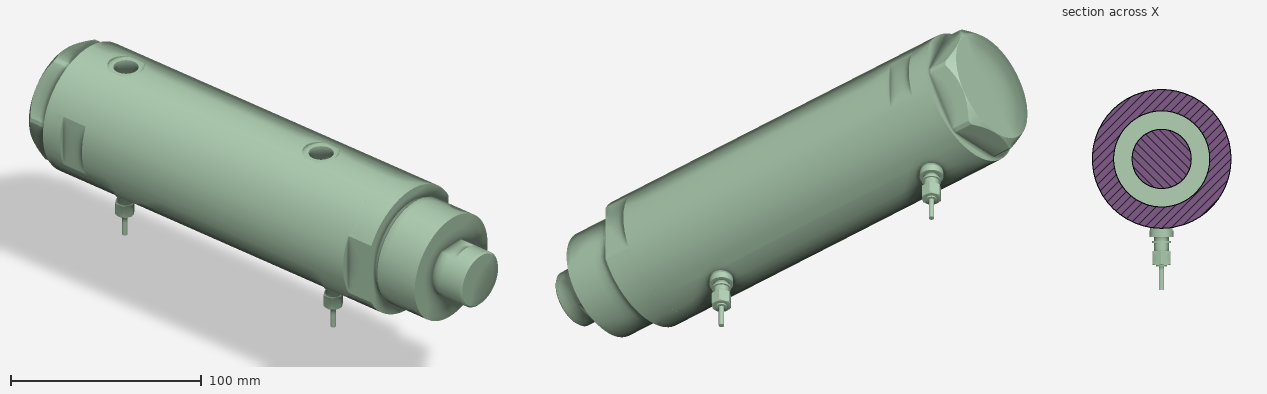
import cadquery as cq

BODY_DIA = 73.0
BODY_START = 16.5
BODY_END = 218.5
BORE_DIA = 50.0
BODY_FLAT_WIDTH = 66.7
BODY_FLAT_START = 26.5
BODY_FLAT_END = 41.5
PORT_POSITIONS = (41.5, 173.7)
PORT_DIA = 13.2
PORT_SEAT_DIA = 19.7
PORT_SEAT_DEPTH = 1.0

HEX_WIDTH = 60.0
HEX_CORNER_DIA = 67.8
HEX_FACE_DIA = 59.7
HEX_TURN = 23.0
HEX_LENGTH = 15.0
PLUG_END = 42.5

SPIGOT_START = 173.0
NOSE_DIA = 60.2
NECK_DIA = 58.3
HEAD_FLAT_WIDTH = 64.0
COLLAR_END = 234.0
NOSE_CHAMFER_START = 235.4
NOSE_START = 236.5
NOSE_END = 261.8

ROD_DIA = 31.2
ROD_END = 281.5
ROD_CHAMFER = 0.8
ROD_FLAT_WIDTH = 27.0
ROD_FLAT_END = 271.7
PISTON_LENGTH = 28.2

SENSOR_POSITIONS = (40.5, 182.0)
SENSOR_TOP = -35.0
STUB_DIA = 11.8
STUB_END = -37.7
RING_DIA = 12.5
RING_END = -41.0
SHANK_DIA = 8.0
BEAD_START = -43.0
BEAD_DIA = 9.9
BEAD_END = -44.2
WAIST_END = -48.5
NUT_WIDTH = 9.5
NUT_CORNER_DIA = 10.7
NUT_CHAMFER = 0.5
NUT_TURN = 30.0
NUT_END = -55.7
SLEEVE_DIA = 5.5
SLEEVE_END = -56.5
CABLE_DIA = 2.8
CABLE_END = -68.83


def rod_along_x(diameter, start, end):
    """A round bar on the X axis between two stations."""
    return cq.Workplane("YZ", origin=(start, 0, 0)).circle(diameter / 2).extrude(end - start)


def bar_down(diameter, top, bottom):
    """A round bar on the Z axis between two heights."""
    return cq.Workplane("XY", origin=(0, 0, top)).circle(diameter / 2).extrude(bottom - top)


def slab(start, end, size_y, size_z):
    """A block centred on the X axis between two stations."""
    return cq.Workplane("YZ", origin=(start, 0, 0)).rect(size_y, size_z).extrude(end - start)


def make_housing():
    housing = rod_along_x(BODY_DIA, BODY_START, BODY_END)
    housing = housing.cut(rod_along_x(BORE_DIA, BODY_START, BODY_END))
    housing = housing.cut(rod_along_x(NOSE_DIA, SPIGOT_START, BODY_END))

    flat_zone = slab(BODY_FLAT_START, BODY_FLAT_END, BODY_DIA, BODY_DIA)
    between_flats = slab(BODY_FLAT_START, BODY_FLAT_END, BODY_FLAT_WIDTH, BODY_DIA)
    housing = housing.cut(flat_zone.cut(between_flats))

    body_top = BODY_DIA / 2
    for x in PORT_POSITIONS:
        seat = bar_down(PORT_SEAT_DIA, body_top, body_top - PORT_SEAT_DEPTH)
        port = bar_down(PORT_DIA, body_top, 0)
        housing = housing.cut(seat.union(port).translate((x, 0, 0)))

    for x in SENSOR_POSITIONS:
        recess = bar_down(STUB_DIA, SENSOR_TOP, -BODY_DIA / 2)
        housing = housing.cut(recess.translate((x, 0, 0)))
    return housing


def make_end_cap():
    hexagon = cq.Workplane("YZ").polygon(6, HEX_WIDTH, circumscribed=True).extrude(HEX_LENGTH)
    hexagon = hexagon.rotate((0, 0, 0), (1, 0, 0), HEX_TURN)
    chamfer = (HEX_CORNER_DIA - HEX_FACE_DIA) / 2
    turned_blank = rod_along_x(HEX_CORNER_DIA, 0, HEX_LENGTH).faces("<X").chamfer(chamfer)
    flange = rod_along_x(BODY_DIA, HEX_LENGTH, BODY_START)
    plug = rod_along_x(BORE_DIA, BODY_START, PLUG_END)
    return hexagon.intersect(turned_blank).union(flange).union(plug)


def make_head():
    collar = rod_along_x(BODY_DIA, BODY_END, COLLAR_END)
    collar = collar.intersect(slab(BODY_END, COLLAR_END, HEAD_FLAT_WIDTH, BODY_DIA))
    spigot = rod_along_x(NOSE_DIA, SPIGOT_START, BODY_END)
    nose_outline = [
        (COLLAR_END, 0),
        (COLLAR_END, NECK_DIA / 2),
        (NOSE_CHAMFER_START, NECK_DIA / 2),
        (NOSE_START, NOSE_DIA / 2),
        (NOSE_END, NOSE_DIA / 2),
        (NOSE_END, 0),
    ]
    nose = cq.Workplane("XZ").polyline(nose_outline).close().revolve(360, (0, 0, 0), (1, 0, 0))
    head = spigot.union(collar).union(nose)
    return head.cut(rod_along_x(ROD_DIA, SPIGOT_START, NOSE_END))


def make_piston_rod():
    rod = rod_along_x(ROD_DIA, PLUG_END, ROD_END).faces(">X").chamfer(ROD_CHAMFER)
    flat_zone = slab(NOSE_END, ROD_FLAT_END, ROD_DIA, ROD_DIA)
    between_flats = slab(NOSE_END, ROD_FLAT_END, ROD_DIA, ROD_FLAT_WIDTH)
    rod = rod.cut(flat_zone.cut(between_flats))
    return rod.union(rod_along_x(BORE_DIA, PLUG_END, PLUG_END + PISTON_LENGTH))


def make_sensor(x):
    sensor = bar_down(STUB_DIA, SENSOR_TOP, STUB_END)
    sensor = sensor.union(bar_down(RING_DIA, STUB_END, RING_END))
    sensor = sensor.union(bar_down(SHANK_DIA, RING_END, BEAD_START))
    sensor = sensor.union(bar_down(BEAD_DIA, BEAD_START, BEAD_END))
    sensor = sensor.union(bar_down(SHANK_DIA, BEAD_END, WAIST_END))
    nut = cq.Workplane("XY", origin=(0, 0, WAIST_END)).polygon(6, NUT_WIDTH, circumscribed=True)
    nut = nut.extrude(NUT_END - WAIST_END).rotate((0, 0, 0), (0, 0, 1), NUT_TURN)
    nut_blank = bar_down(NUT_CORNER_DIA, WAIST_END, NUT_END).faces("<Z").chamfer(NUT_CHAMFER)
    sensor = sensor.union(nut.intersect(nut_blank))
    sensor = sensor.union(bar_down(SLEEVE_DIA, NUT_END, SLEEVE_END))
    sensor = sensor.union(bar_down(CABLE_DIA, SLEEVE_END, CABLE_END))
    return sensor.translate((x, 0, 0))


housing = make_housing()
end_cap = make_end_cap()
head = make_head()
piston_rod = make_piston_rod()
sensors = [make_sensor(x) for x in SENSOR_POSITIONS]

result = cq.Compound.makeCompound(
    [
        housing.val(),
        end_cap.val(),
        head.val(),
        piston_rod.val(),
        *[sensor.val() for sensor in sensors],
    ]
)